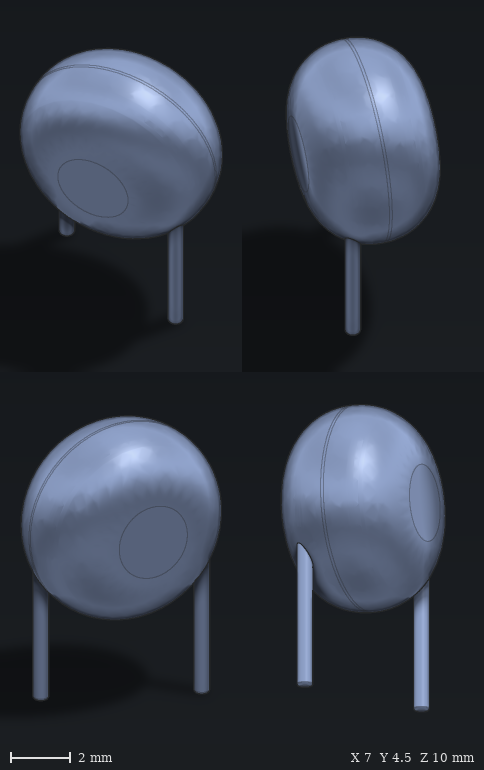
import cadquery as cq

body_diameter = 7.0
body_thickness = 4.5
rim_width = 0.1
edge_radius = (body_thickness - rim_width) / 2

lead_diameter = 0.54
lead_spacing_x = 5.0
lead_spacing_y = 2.1
overall_height = 10.03
lead_tip_z = body_diameter / 2 - overall_height
lead_tip_round = 0.1


def make_body():
    """Disc with both rims fully rounded, leaving a flat circle on each face."""
    back_face = cq.Workplane("XZ", origin=(0, body_thickness / 2, 0))
    disc = back_face.circle(body_diameter / 2).extrude(body_thickness)
    return disc.edges("%CIRCLE").fillet(edge_radius)


def make_lead(x, y):
    """Round lead from its rounded tip up to z = 0, the mid-height of the body."""
    lead = cq.Workplane("XY", origin=(x, y, lead_tip_z)).circle(lead_diameter / 2).extrude(-lead_tip_z)
    return lead.faces("<Z").edges().fillet(lead_tip_round)


result = make_body()
for side in (-1, 1):
    result = result.union(make_lead(side * lead_spacing_x / 2, -side * lead_spacing_y / 2))